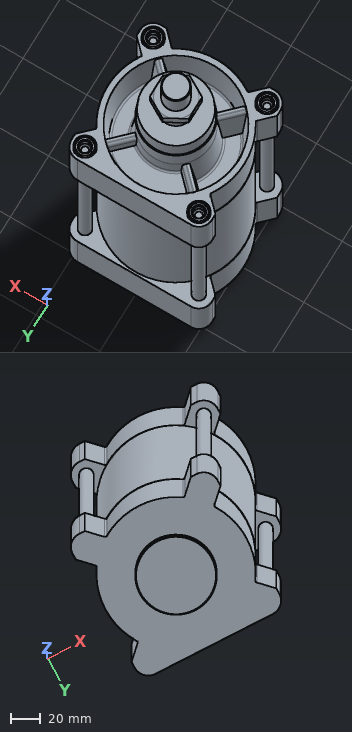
import cadquery as cq
import math


total_height = 331.5
tenon_height = 4.0
cap_height = 48.0
tube_length = 142.2
nose_height = 18.2
collar_height = 20.0

rear_cap_z = tenon_height
tube_z = rear_cap_z + cap_height
front_cap_z = tube_z + tube_length
front_face_z = front_cap_z + cap_height
shoulder_z = front_face_z + collar_height
nose_top_z = shoulder_z + nose_height

cap_side = 110.0
tube_radius = 106.7 / 2
cap_radius = 107.0 / 2
boss_radius = 21.0 / 2
bolt_offset = cap_side / 2 - boss_radius
arm_reach = math.sqrt(2) * boss_radius
notch_fillet = 1.3
tie_rod_radius = 5.0
corners = [(sx * bolt_offset, sy * bolt_offset) for sx in (-1, 1) for sy in (-1, 1)]

collar_radius = 55.0 / 2
collar_chamfer = 0.5
nose_base_radius = 27.0
nose_top_radius = 26.2

recess_radius = 48.7
recess_depth = 36.0
shallow_depth = 13.0
recess_fillet = 1.5
draft = math.tan(math.radians(6))
rib_crest_drop = 2.3
rib_round = 2.5
rib_crest_width = 0.5

screw_hole_radius = 16.0 / 2
screw_head_radius = 15.0 / 2
screw_top_radius = 13.0 / 2
screw_chamfer_height = 1.0
screw_gap_depth = 3.0
socket_rim_radius = 10.0 / 2
socket_radius = 8.3 / 2
socket_rim_depth = 1.0
socket_depth = 6.5
socket_floor_radius = 5.3 / 2
socket_floor_depth = 8.3

rod_radius = 25.0 / 2
rod_flats_width = 22.2
flats_bottom_z = nose_top_z + 1.0
rod_shoulder_z = 291.5
neck_radius = 18.0 / 2
neck_height = 2.5
runout_height = 3.0
thread_radius = 20.2 / 2
tip_chamfer = 0.5

nut_width = 30.5
nut_height = 9.5
nut_top_z = 307.5
nut_chamfer_slope = math.tan(math.radians(15))


def cylinder(radius, bottom, top):
    return cq.Workplane("XY").workplane(offset=bottom).circle(radius).extrude(top - bottom)


def turned(points):
    """Solid of revolution about Z from an outline of (radius, height) points."""
    return cq.Workplane("XZ").polyline(points).close().revolve(360, (0, 0, 0), (0, 1, 0))


def end_cap(bottom):
    half = cap_side / 2
    cap = cylinder(cap_radius, bottom, bottom + cap_height)
    arm_outline = [
        (half, half),
        (half, half - arm_reach),
        (arm_reach, 0),
        (0, arm_reach),
        (half - arm_reach, half),
    ]
    arm = cq.Workplane("XY").workplane(offset=bottom).polyline(arm_outline).close().extrude(cap_height)
    arm = arm.edges("|Z").edges(">(1,1,0)").fillet(boss_radius)
    for quarter in range(4):
        cap = cap.union(arm.rotate((0, 0, 0), (0, 0, 1), 90 * quarter))

    web = cq.Workplane("XY").box(2 * bolt_offset, 2 * boss_radius, cap_height, centered=(True, True, False))
    cap = cap.union(web.translate((0, bolt_offset, bottom)))

    along = math.sqrt((cap_radius**2 - arm_reach**2 / 2) / 2)
    near = along - arm_reach / 2
    far = along + arm_reach / 2
    notches = [(-far, near), (far, near), (-far, -near), (far, -near), (-near, -far), (near, -far)]
    for x, y in notches:
        middle = (x, y, bottom + cap_height / 2)
        cap = cap.edges(cq.selectors.NearestToPointSelector(middle)).fillet(notch_fillet)
    return cap


def recess_ring():
    """Ring-shaped pocket with drafted walls and a rounded floor."""
    floor = front_face_z - recess_depth
    taper = draft * recess_depth
    ring = turned([
        (collar_radius, front_face_z),
        (recess_radius, front_face_z),
        (recess_radius - taper, floor),
        (collar_radius + taper, floor),
    ])
    return ring.faces("<Z").edges().fillet(recess_fillet)


def rib_bar():
    """Bar through the axis along X with drafted sides and a round crest."""
    crest_z = front_face_z - rib_crest_drop
    side_z = crest_z - rib_round
    flat_half = rib_crest_width / 2
    side_half = flat_half + rib_round
    arc_offset = rib_round * math.sqrt(0.5)
    arc_z = side_z + arc_offset
    foot_z = front_face_z - recess_depth
    foot_half = side_half + draft * (side_z - foot_z)
    return (
        cq.Workplane("YZ")
        .moveTo(-foot_half, foot_z)
        .lineTo(-side_half, side_z)
        .threePointArc((-flat_half - arc_offset, arc_z), (-flat_half, crest_z))
        .lineTo(flat_half, crest_z)
        .threePointArc((flat_half + arc_offset, arc_z), (side_half, side_z))
        .lineTo(foot_half, foot_z)
        .close()
        .extrude(tube_radius, both=True)
    )


def front_recess():
    """The ring-shaped pocket with the four diagonal ribs left standing."""
    recess = recess_ring()
    for angle in (45, -45):
        recess = recess.cut(rib_bar().rotate((0, 0, 0), (0, 0, 1), angle))
    return recess


def raised_floor():
    """Quarter disc that fills the bottom of the recess between the two +Y ribs."""
    height = recess_depth - shallow_depth
    quarter = (
        cq.Workplane("XY")
        .workplane(offset=front_face_z - recess_depth)
        .polyline([(0, 0), (cap_side, cap_side), (-cap_side, cap_side)])
        .close()
        .extrude(height)
    )
    disc = cylinder(recess_radius, front_face_z - recess_depth, front_face_z - shallow_depth)
    return disc.intersect(quarter)


def screw_recess():
    """Material removed around and inside one screw head, on the axis."""
    gap = turned([
        (screw_hole_radius, front_face_z),
        (screw_top_radius, front_face_z),
        (screw_head_radius, front_face_z - screw_chamfer_height),
        (screw_head_radius, front_face_z - screw_gap_depth),
        (screw_hole_radius, front_face_z - screw_gap_depth),
    ])
    socket = turned([
        (0, front_face_z),
        (socket_rim_radius, front_face_z),
        (socket_radius, front_face_z - socket_rim_depth),
        (socket_radius, front_face_z - socket_depth),
        (socket_floor_radius, front_face_z - socket_floor_depth),
        (0, front_face_z - socket_floor_depth),
    ])
    return gap, socket


def make_housing():
    floor_middle = (0, (collar_radius + recess_radius) / 2, front_face_z - shallow_depth)
    tenon = cylinder(collar_radius, 0, rear_cap_z).faces("<Z").chamfer(collar_chamfer)
    tube = cylinder(tube_radius, tube_z, front_cap_z)
    front_cap = end_cap(front_cap_z).cut(front_recess()).union(raised_floor())
    shallow_floor = front_cap.faces(cq.selectors.NearestToPointSelector(floor_middle))
    front_cap = shallow_floor.edges("%CIRCLE").fillet(recess_fillet)
    for x, y in corners:
        for cutter in screw_recess():
            front_cap = front_cap.cut(cutter.translate((x, y, 0)))
    collar = cylinder(collar_radius, front_face_z, shoulder_z).faces(">Z").chamfer(collar_chamfer)
    nose = turned([
        (0, shoulder_z),
        (nose_base_radius, shoulder_z),
        (nose_top_radius, nose_top_z),
        (0, nose_top_z),
    ])

    housing = end_cap(rear_cap_z).union(tenon).union(tube).union(front_cap).union(collar).union(nose)
    for x, y in corners:
        housing = housing.union(cylinder(tie_rod_radius, tube_z, front_cap_z).translate((x, y, 0)))
    return housing.cut(cylinder(rod_radius, front_cap_z, nose_top_z))


def make_rod():
    neck_top_z = rod_shoulder_z + neck_height
    rod = turned([
        (0, front_cap_z),
        (rod_radius, front_cap_z),
        (rod_radius, rod_shoulder_z),
        (neck_radius, rod_shoulder_z),
        (neck_radius, neck_top_z),
        (thread_radius, neck_top_z + runout_height),
        (thread_radius, total_height - tip_chamfer),
        (thread_radius - tip_chamfer, total_height),
        (0, total_height),
    ])
    flats_height = rod_shoulder_z - flats_bottom_z
    for side in (-1, 1):
        waste = cq.Workplane("XY").box(rod_radius, 2 * rod_radius, flats_height, centered=(True, True, False))
        waste_x = side * (rod_flats_width + rod_radius) / 2
        rod = rod.cut(waste.translate((waste_x, 0, flats_bottom_z)))
    return rod


def make_nut():
    bottom = nut_top_z - nut_height
    corner_radius = nut_width / math.sqrt(3)
    flat_radius = nut_width / 2
    drop = (corner_radius - flat_radius) * nut_chamfer_slope
    hexagon = (
        cq.Workplane("XY")
        .workplane(offset=bottom)
        .polygon(6, 2 * corner_radius)
        .extrude(nut_height)
        .rotate((0, 0, 0), (0, 0, 1), 30)
    )
    envelope = turned([
        (0, bottom),
        (flat_radius, bottom),
        (corner_radius, bottom + drop),
        (corner_radius, nut_top_z - drop),
        (flat_radius, nut_top_z),
        (0, nut_top_z),
    ])
    return hexagon.intersect(envelope).cut(cylinder(thread_radius, bottom, nut_top_z))


housing = make_housing()
piston_rod = make_rod()
lock_nut = make_nut()

result = cq.Compound.makeCompound([housing.val(), piston_rod.val(), lock_nut.val()])